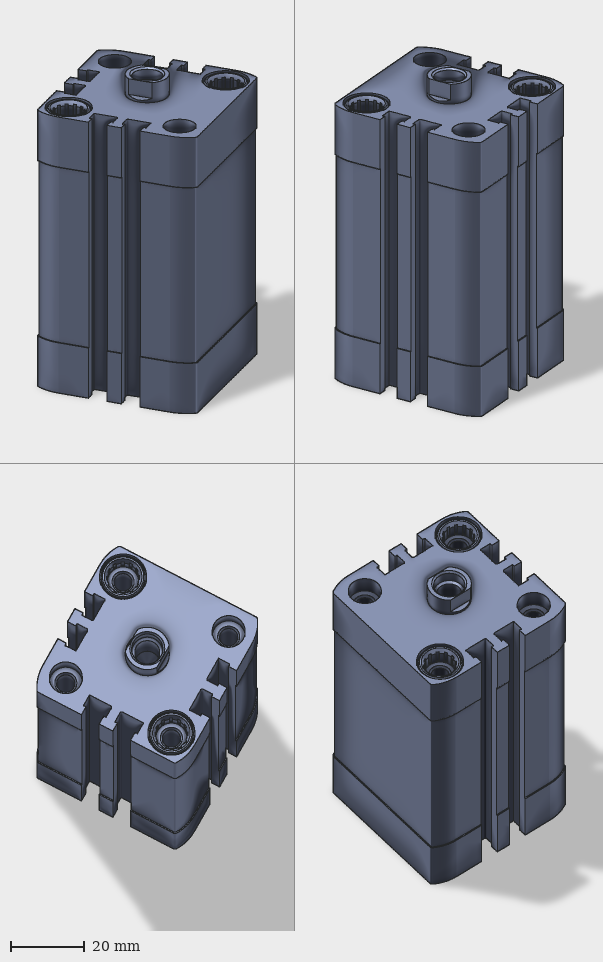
import cadquery as cq
import math

TOTAL_HEIGHT = 88.1
WIDTH = 47.0
HALF_WIDTH = WIDTH / 2
BODY_HEIGHT = 82.2
CAP_HEIGHT = 15.0
TUBE_INSET = 0.35
CORNER_RADIUS = 13.0
CORNER_ARC_CENTRE = 16.3
CORNER_EDGE_RADIUS = 1.0

SLOT_OFFSET = 4.85
SLOT_MOUTH_WIDTH = 5.5
SLOT_INNER_WIDTH = 7.0
SLOT_LIP = 2.55
SLOT_DEPTH = 6.0
SLOT_INNER_FILLET = 0.4

HOLE_OFFSET = 16.3
THROUGH_DIAMETER = 4.9
COUNTERSINK_DIAMETER = 6.0
COUNTERBORE_DIAMETER = 9.0
COUNTERBORE_DEPTH = 5.0

GROOVE_DIAMETER = 12.8
GROOVE_DEPTH = 1.8
COLLAR_DIAMETER = 11.9
COLLAR_DROP = 0.2
COLLAR_CHAMFER = 0.35
SOCKET_MOUTH_DIAMETER = 10.2
SOCKET_DIAMETER = 8.5
MOUTH_CONE_DEPTH = 1.3
NOTCH_TIP_DIAMETER = 9.0
NOTCH_WIDTH = 0.9
NOTCH_LIFT = 0.4
NOTCH_COUNT = 12

ROD_DIAMETER = 12.0
ROD_BOTTOM = BODY_HEIGHT - CAP_HEIGHT
FLAT_SPACING = 9.8
FLAT_BOTTOM = BODY_HEIGHT + 1.2
FLAT_RUNOUT_DROP = 0.6
BORE_CHAMFER_DIAMETER = 9.5
BORE_DIAMETER = 8.5
BORE_DEPTH = 3.5
THREAD_DIAMETER = 6.8
THREAD_DEPTH = 14.1
STEP_CONE_DEPTH = 0.4
DRILL_POINT_ANGLE = 118.0


def housing_prism(inset, bottom, height):
    """Prism of the outer outline, moved inward by inset."""
    half = HALF_WIDTH - inset
    radius = CORNER_RADIUS - inset
    arc_centre_y = HALF_WIDTH - CORNER_RADIUS
    end_angle = math.acos((half - CORNER_ARC_CENTRE) / radius)
    middle_angle = (end_angle + math.pi / 2) / 2

    def on_arc(angle, x_sign, y_sign):
        x = CORNER_ARC_CENTRE + radius * math.cos(angle)
        y = arc_centre_y + radius * math.sin(angle)
        return (x_sign * x, y_sign * y)

    return (
        cq.Workplane("XY", origin=(0, 0, bottom))
        .moveTo(-CORNER_ARC_CENTRE, half)
        .lineTo(CORNER_ARC_CENTRE, half)
        .threePointArc(on_arc(middle_angle, 1, 1), on_arc(end_angle, 1, 1))
        .lineTo(*on_arc(end_angle, 1, -1))
        .threePointArc(on_arc(middle_angle, 1, -1), (CORNER_ARC_CENTRE, -half))
        .lineTo(-CORNER_ARC_CENTRE, -half)
        .threePointArc(on_arc(middle_angle, -1, -1), on_arc(end_angle, -1, -1))
        .lineTo(*on_arc(end_angle, -1, 1))
        .threePointArc(on_arc(middle_angle, -1, 1), (-CORNER_ARC_CENTRE, half))
        .close()
        .extrude(height)
        .edges("|Z and (<X or >X)")
        .fillet(CORNER_EDGE_RADIUS - inset)
    )


def turned(profile, x=0.0, y=0.0):
    """Solid of revolution about a vertical axis at x, y from (radius, z) points."""
    solid = cq.Workplane("XZ").polyline(profile).close().revolve(360, (0, 0, 0), (0, 1, 0))
    return solid.translate((x, y, 0))


def slot_pair(side_angle):
    """Cutter for the two T-slots of one side; angle 0 is the front (-Y) side."""
    inner_depth = SLOT_DEPTH - SLOT_LIP
    right_slot = (
        cq.Workplane("XY")
        .box(SLOT_INNER_WIDTH, inner_depth, BODY_HEIGHT, centered=(True, False, False))
        .edges("|Z and >Y and <X")
        .fillet(SLOT_INNER_FILLET)
        .translate((SLOT_OFFSET, SLOT_LIP - HALF_WIDTH, 0))
    )
    mouth = (
        cq.Workplane("XY")
        .box(SLOT_MOUTH_WIDTH, SLOT_LIP, BODY_HEIGHT, centered=(True, False, False))
        .translate((SLOT_OFFSET, -HALF_WIDTH, 0))
    )
    right_slot = right_slot.union(mouth)
    pair = right_slot.union(right_slot.mirror("YZ"))
    return pair.rotate((0, 0, 0), (0, 0, 1), side_angle)


def screw_hole(x, y):
    """Through hole, countersunk at the floor of its counterbore."""
    floor = BODY_HEIGHT - COUNTERBORE_DEPTH
    through_radius = THROUGH_DIAMETER / 2
    sink_radius = COUNTERSINK_DIAMETER / 2
    sink_depth = sink_radius - through_radius
    profile = [
        (0, 0),
        (through_radius, 0),
        (through_radius, floor - sink_depth),
        (sink_radius, floor),
        (0, floor),
    ]
    return turned(profile, x, y)


def counterbore(x, y):
    """Plain counterbore above a screw hole."""
    radius = COUNTERBORE_DIAMETER / 2
    floor = BODY_HEIGHT - COUNTERBORE_DEPTH
    return turned([(0, floor), (radius, floor), (radius, BODY_HEIGHT), (0, BODY_HEIGHT)], x, y)


def splined_socket(x, y):
    """Cutter for a chamfered collar: ring groove, conical mouth and notched socket."""
    floor = BODY_HEIGHT - COUNTERBORE_DEPTH
    groove_floor = BODY_HEIGHT - GROOVE_DEPTH
    collar_top = BODY_HEIGHT - COLLAR_DROP
    cone_bottom = collar_top - MOUTH_CONE_DEPTH
    collar_radius = COLLAR_DIAMETER / 2
    socket = turned(
        [
            (0, floor),
            (SOCKET_DIAMETER / 2, floor),
            (SOCKET_DIAMETER / 2, cone_bottom),
            (SOCKET_MOUTH_DIAMETER / 2, collar_top),
            (collar_radius - COLLAR_CHAMFER, collar_top),
            (collar_radius, collar_top - COLLAR_CHAMFER),
            (collar_radius, groove_floor),
            (GROOVE_DIAMETER / 2, groove_floor),
            (GROOVE_DIAMETER / 2, BODY_HEIGHT),
            (0, BODY_HEIGHT),
        ]
    )
    notch_bottom = floor + NOTCH_LIFT
    notch = (
        cq.Workplane("XY", origin=(0, 0, notch_bottom))
        .box(NOTCH_TIP_DIAMETER / 2, NOTCH_WIDTH, collar_top - notch_bottom, centered=(False, True, False))
    )
    for index in range(NOTCH_COUNT):
        socket = socket.union(notch.rotate((0, 0, 0), (0, 0, 1), index * 360 / NOTCH_COUNT))
    return socket.translate((x, y, 0))


def make_housing():
    """Tube with two end caps, T-slots, corner holes and a pocket for the rod."""
    top_cap_bottom = BODY_HEIGHT - CAP_HEIGHT
    housing = housing_prism(TUBE_INSET, CAP_HEIGHT, top_cap_bottom - CAP_HEIGHT)
    for cap_bottom in (0, top_cap_bottom):
        housing = housing.union(housing_prism(0, cap_bottom, CAP_HEIGHT))

    for side_angle in (0, 180, 270):
        housing = housing.cut(slot_pair(side_angle))

    for x_sign in (-1, 1):
        for y_sign in (-1, 1):
            x = x_sign * HOLE_OFFSET
            y = y_sign * HOLE_OFFSET
            top_cutter = splined_socket if x_sign == y_sign else counterbore
            housing = housing.cut(screw_hole(x, y)).cut(top_cutter(x, y))

    rod_length = BODY_HEIGHT - ROD_BOTTOM
    rod_pocket = cq.Workplane("XY", origin=(0, 0, ROD_BOTTOM)).circle(ROD_DIAMETER / 2).extrude(rod_length)
    return housing.cut(rod_pocket)


def wrench_flat():
    """Cutter for the -Y wrench flat and the slope it runs out in."""
    flat_y = -FLAT_SPACING / 2
    outer_y = -ROD_DIAMETER / 2
    profile = [
        (flat_y, FLAT_BOTTOM),
        (flat_y, TOTAL_HEIGHT),
        (outer_y, TOTAL_HEIGHT),
        (outer_y, FLAT_BOTTOM - FLAT_RUNOUT_DROP),
    ]
    return cq.Workplane("YZ").polyline(profile).close().extrude(ROD_DIAMETER / 2, both=True)


def rod_bore():
    """Chamfered bore that steps down to a thread hole with a drill point."""
    bore_radius = BORE_DIAMETER / 2
    thread_radius = THREAD_DIAMETER / 2
    chamfer_radius = BORE_CHAMFER_DIAMETER / 2
    bore_bottom = TOTAL_HEIGHT - BORE_DEPTH
    thread_bottom = TOTAL_HEIGHT - THREAD_DEPTH
    point_depth = thread_radius / math.tan(math.radians(DRILL_POINT_ANGLE / 2))
    return turned(
        [
            (0, thread_bottom - point_depth),
            (thread_radius, thread_bottom),
            (thread_radius, bore_bottom - STEP_CONE_DEPTH),
            (bore_radius, bore_bottom),
            (bore_radius, TOTAL_HEIGHT - (chamfer_radius - bore_radius)),
            (chamfer_radius, TOTAL_HEIGHT),
            (0, TOTAL_HEIGHT),
        ]
    )


def make_rod():
    """Piston rod with two wrench flats and a stepped threaded bore."""
    rod_length = TOTAL_HEIGHT - ROD_BOTTOM
    rod = cq.Workplane("XY", origin=(0, 0, ROD_BOTTOM)).circle(ROD_DIAMETER / 2).extrude(rod_length)
    flat = wrench_flat()
    return rod.cut(flat).cut(flat.mirror("XZ")).cut(rod_bore())


housing = make_housing()
rod = make_rod()
result = cq.Compound.makeCompound([housing.solids().val(), rod.solids().val()])